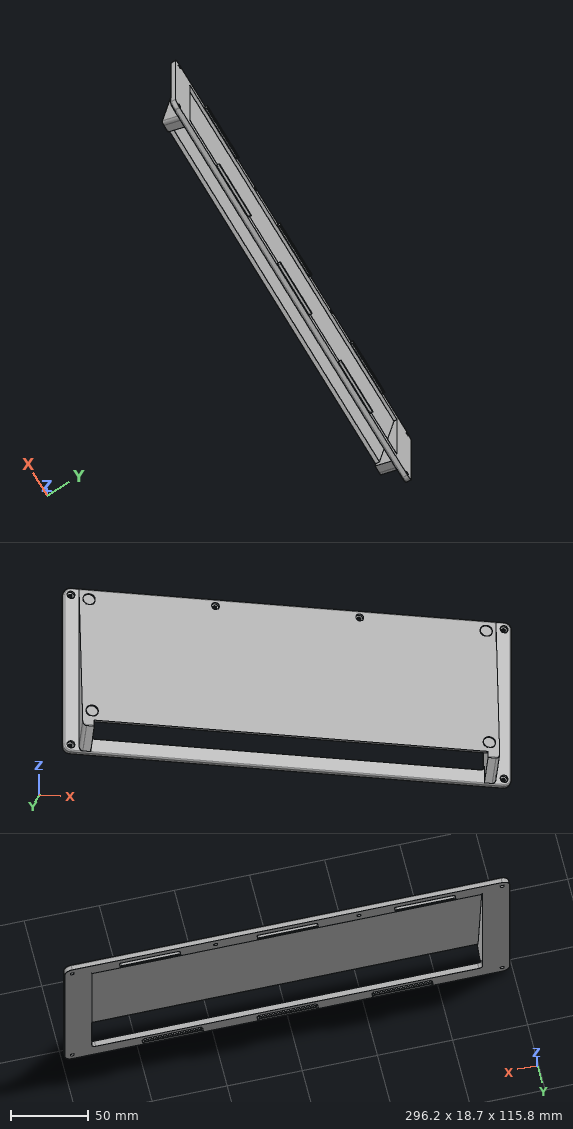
import cadquery as cq
import math

LENGTH = 296.2
HEIGHT = 115.8
TOTAL_DEPTH = 18.7
PLATE_THICKNESS = 4.0
CORNER_RADIUS = 5.0
EDGE_ROUNDING = 1.0
OUTSIDE_Y = -PLATE_THICKNESS

BAR_HEIGHT = 1.95
BAR_WIDTH = 2.0
BAR_LENGTH = 40.3
SNAP_LIP = 1.0
TOP_BAR_CENTRES = (-91.5, 0.0, 91.5)
BOTTOM_BAR_CENTRES = (-76.5, 0.0, 76.5)

WEDGE_HALF_LENGTH = 137.8
WEDGE_DEPTH = TOTAL_DEPTH - BAR_HEIGHT - PLATE_THICKNESS
WEDGE_TOP_Z = HEIGHT - EDGE_ROUNDING
WEDGE_FOOT_Z = EDGE_ROUNDING
WEDGE_TIP_Z = WEDGE_FOOT_Z + WEDGE_DEPTH
WEDGE_TIP_FLAT = 1.0
FRONT_LOW_Z = WEDGE_TIP_Z + WEDGE_TIP_FLAT
WEDGE_TIP_Y = OUTSIDE_Y - WEDGE_DEPTH
FRONT_ANGLE = math.degrees(math.atan2(WEDGE_DEPTH, WEDGE_TOP_Z - FRONT_LOW_Z))
WEDGE_FILLET = 2.5

CAVITY_HALF_LENGTH = 130.0
FRAME_BAND = 10.0
WALL = 3.0
MOUTH_TOP_Z = 18.0
MOUTH_CORNER_RADIUS = 2.5

SCREW_INSET = 5.0
SCREW_HOLE_DIAMETER = 2.5
SCREW_HEAD_DIAMETER = 5.0
SCREW_HEAD_DEPTH = 2.0
FOOT_DIAMETER = 8.0
FOOT_RECESS = 1.0
FOOT_X = 131.2
FOOT_HEIGHTS = (25.2, 108.5)


def side_prism(points, half_length):
    """Prism along X, centred on x = 0, over an outline of (y, z) points."""
    return cq.Workplane("YZ").polyline(points).close().extrude(half_length, both=True)


def front_y(z):
    """Y of the sloping front face of the wedge at height z."""
    return OUTSIDE_Y - (WEDGE_TOP_Z - z) * math.tan(math.radians(FRONT_ANGLE))


def make_plate():
    return (
        cq.Workplane("XY")
        .box(LENGTH, PLATE_THICKNESS, HEIGHT)
        .translate((0, OUTSIDE_Y / 2, HEIGHT / 2))
        .edges("|Y")
        .fillet(CORNER_RADIUS)
        .faces("<Y")
        .fillet(EDGE_ROUNDING)
    )


def make_wedge():
    """Solid wedge reaching into the plate, with its two slanted bottom corners rounded."""
    root_y = OUTSIDE_Y / 2
    outline = [
        (root_y, WEDGE_TOP_Z),
        (OUTSIDE_Y, WEDGE_TOP_Z),
        (WEDGE_TIP_Y, FRONT_LOW_Z),
        (WEDGE_TIP_Y, WEDGE_TIP_Z),
        (OUTSIDE_Y, WEDGE_FOOT_Z),
        (root_y, WEDGE_FOOT_Z),
    ]
    wedge = side_prism(outline, WEDGE_HALF_LENGTH)
    middle = (OUTSIDE_Y - WEDGE_DEPTH / 2, WEDGE_FOOT_Z + WEDGE_DEPTH / 2)
    for x in (-WEDGE_HALF_LENGTH, WEDGE_HALF_LENGTH):
        slanted_edge = cq.selectors.NearestToPointSelector((x, *middle))
        wedge = wedge.edges(slanted_edge).fillet(WEDGE_FILLET)
    return wedge


def make_cavity():
    """Space behind the front wall, running out through the inside face of the plate."""
    wall_along_y = WALL / math.cos(math.radians(FRONT_ANGLE))
    cavity_top_z = HEIGHT - FRAME_BAND
    outline = [
        (0, FRAME_BAND),
        (0, cavity_top_z),
        (front_y(cavity_top_z) + wall_along_y, cavity_top_z),
        (front_y(MOUTH_TOP_Z) + wall_along_y, MOUTH_TOP_Z),
        (OUTSIDE_Y, FRAME_BAND),
    ]
    bottom_corners = cq.selectors.BoxSelector(
        (-LENGTH, OUTSIDE_Y, FRAME_BAND - WALL), (LENGTH, 0, FRAME_BAND + WALL)
    )
    cavity = side_prism(outline, CAVITY_HALF_LENGTH)
    return cavity.edges("|Y").edges(bottom_corners).fillet(MOUTH_CORNER_RADIUS)


def make_mouth():
    """Block that removes the wedge underside between the two end walls."""
    outline = [
        (OUTSIDE_Y, 0),
        (OUTSIDE_Y, MOUTH_TOP_Z),
        (WEDGE_TIP_Y - WALL, MOUTH_TOP_Z),
        (WEDGE_TIP_Y - WALL, 0),
    ]
    return side_prism(outline, CAVITY_HALF_LENGTH)


def y_cylinder(diameter, x, z, y_start, y_end):
    return cq.Workplane("XY").add(
        cq.Solid.makeCylinder(
            diameter / 2, y_end - y_start, cq.Vector(x, y_start, z), cq.Vector(0, 1, 0)
        )
    )


def cut_screw_holes(body):
    corner_x = LENGTH / 2 - SCREW_INSET
    top_z = HEIGHT - SCREW_INSET
    places = [(x, z) for x in (-corner_x, corner_x) for z in (SCREW_INSET, top_z)]
    places += [(x, top_z) for x in (-corner_x / 3, corner_x / 3)]
    for x, z in places:
        body = body.cut(y_cylinder(SCREW_HOLE_DIAMETER, x, z, WEDGE_TIP_Y, 0))
        body = body.cut(
            y_cylinder(SCREW_HEAD_DIAMETER, x, z, WEDGE_TIP_Y, OUTSIDE_Y + SCREW_HEAD_DEPTH)
        )
    return body


def cut_foot_recesses(body):
    """Shallow round recesses, square to the sloping front face."""
    for x in (-FOOT_X, FOOT_X):
        for z in FOOT_HEIGHTS:
            recess = y_cylinder(FOOT_DIAMETER, 0, 0, -FOOT_RECESS, FOOT_RECESS)
            recess = recess.rotate((0, 0, 0), (1, 0, 0), -FRONT_ANGLE)
            body = body.cut(recess.translate((x, front_y(z), z)))
    return body


def make_bar(x, z, inward):
    """Round-ended bar; a low lip runs along its side facing the middle of the plate."""
    bar = (
        cq.Workplane("XZ", origin=(x, 0, z))
        .slot2D(BAR_LENGTH, BAR_WIDTH)
        .extrude(-BAR_HEIGHT)
    )
    lip_outer_z = z + inward * (BAR_WIDTH / 2 + SNAP_LIP)
    straight_half_length = (BAR_LENGTH - BAR_WIDTH) / 2
    lip = side_prism(
        [(0, z), (0, lip_outer_z), (BAR_HEIGHT / 2, lip_outer_z), (BAR_HEIGHT, z)],
        straight_half_length,
    )
    return bar.union(lip.translate((x, 0, 0)))


result = make_plate().union(make_wedge()).cut(make_cavity()).cut(make_mouth())
result = cut_screw_holes(result)
result = cut_foot_recesses(result)
for bar_x in TOP_BAR_CENTRES:
    result = result.union(make_bar(bar_x, HEIGHT - SCREW_INSET, -1))
for bar_x in BOTTOM_BAR_CENTRES:
    result = result.union(make_bar(bar_x, SCREW_INSET, 1))